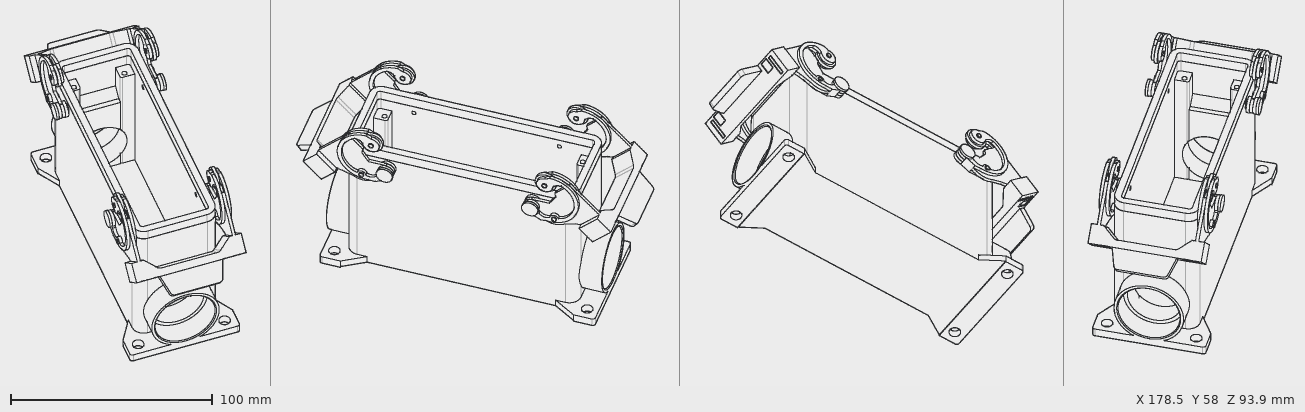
import cadquery as cq
import math

length = 178.5
width = 58.0

body_length = 121.0
body_width = 43.7
body_bottom = 0.5
body_top = 80.1
body_corner_radius = 6.0
cavity_length = 113.5
cavity_width = 36.0
cavity_corner_radius = 1.6
cavity_floor = 4.5
rim_bottom = 74.8
rim_inset = 0.09

wall_middle_x = (cavity_length + body_length) / 4
wall_middle_y = (cavity_width + body_width) / 4

post_inner_x = 49.5
post_inner_y = 10.5
post_top = 68.4
post_corner_radius = 1.0
screw_x = 51.8
screw_y = 13.4
screw_hole_diameter = 2.5
screw_hole_depth = 17.8
ledge_slope_x = 52.1
ledge_top = 50.2

foot_end_x = 72.0
foot_side_x = 60.9
foot_root_x = 49.3
foot_top = 4.5
foot_corner_radius = 1.5
foot_hole_x = 66.0
foot_hole_y = 22.8
foot_hole_diameter = 5.7

entry_z = 20.5
entry_outer_radius = 17.8
entry_counterbore_radius = 15.9
entry_counterbore_depth = 11.6
entry_bore_radius = 14.0
entry_chamfer = 0.5

layer_thickness = 1.7
layer_middle_y = 25.2
ring_x = 48.0
ring_z = 78.9
ring_radius = 15.0
ring_inner_radius = 12.9
arm_angle = math.radians(45)
head_x = 45.3
head_z = 88.2
roller_radius = 5.5
head_cheek_radius = 4.3
ring_outer_end_angle = -95
ring_inner_end_angle = -58
throat_start_angle = 62
throat_bulge = 1.2
hook_cut_along = -1.0
hook_cut_across = 4.1
hook_jaw_x = 47.3
hook_jaw_z = 74.8
hook_heel_x = 43.2
hook_heel_z = 63.7
hook_mouth_point = (50.7, 80.0)
scoop_start = (42.5, 68.0)
scoop_bottom = (45.3, 66.2)
scoop_end = (48.0, 66.8)
belly_outer_point = (60.9, 64.6)
belly_start = (55.0, 62.6)
belly_bottom = (49.6, 61.2)
belly_end = (45.3, 62.5)
pivot_x = 38.0
pivot_z = 70.5
pivot_radius = 4.1
pivot_eye_radius = 4.0
pivot_head_radius = 4.3
pivot_pin_radius = 2.5
pivot_hole_diameter = 2.1
rivet_x = 50.3
rivet_z = 66.5
rivet_radius = 1.2
rivet_length = 6.2
rivet_boss_radius = 2.3

bar_start = 20.9
bar_end = 30.9
bar_depth = 13.5
bar_web = 4.0
bar_recess_mouth_width = 45.3
bar_recess_floor_width = 31.8
bar_recess_corner_radius = 2.7
bar_slot_start = 1.6
bar_slot_end = 12.1
bar_pocket_start = 0.9
bar_pocket_end = 6.8
bar_pocket_inner_y = 18.5
bar_pocket_outer_y = 22.8
bar_outer_recess_depth = 0.5
tab_tip_z = 60.0
tab_angle = 35.0
tab_thickness = 3.5
tab_length = 14.3
tab_taper_length = 10.7
tab_root_width = 33.2
tab_tip_width = 26.8
tab_corner_radius = 2.1


def mirrored_pair(shape, plane):
    """The shape together with its mirror image."""
    return shape.union(shape.mirror(plane))


def y_cylinder(x, z, radius, y_start, y_length):
    """A cylinder along +Y that starts at y_start."""
    return (
        cq.Workplane("XZ", origin=(x, y_start, z))
        .circle(radius)
        .extrude(-y_length)
    )


def y_prism(outline, y_middle, thickness):
    """Extrude a closed XZ outline equally to both sides of y_middle."""
    return outline.extrude(thickness / 2, both=True).translate((0, y_middle, 0))


def arm_point(along, across):
    """XZ point measured from the ring centre, down along the arm and square to it."""
    x = ring_x + along * math.cos(arm_angle) + across * math.sin(arm_angle)
    z = ring_z - along * math.sin(arm_angle) + across * math.cos(arm_angle)
    return (x, z)


def ring_point(radius, degrees):
    """XZ point on a circle about the ring centre."""
    angle = math.radians(degrees)
    return (ring_x + radius * math.cos(angle), ring_z + radius * math.sin(angle))


def rounded_block(block_length, block_width, corner_radius, bottom, top):
    """A block centred on the Z axis with rounded upright edges."""
    return (
        cq.Workplane("XY", origin=(0, 0, bottom))
        .rect(block_length, block_width)
        .extrude(top - bottom)
        .edges("|Z")
        .fillet(corner_radius)
    )


def make_body():
    """Body block with a rim set slightly in from the side walls."""
    rim_length = body_length - 2 * rim_inset
    rim_width = body_width - 2 * rim_inset
    body = rounded_block(body_length, body_width, body_corner_radius, body_bottom, rim_bottom)
    rim = rounded_block(rim_length, rim_width, body_corner_radius, rim_bottom, body_top)
    return body.union(rim)


def make_cavity():
    """Cavity that opens slightly wider inside the rim."""
    mouth_length = cavity_length + 2 * rim_inset
    mouth_width = cavity_width + 2 * rim_inset
    cavity = rounded_block(cavity_length, cavity_width, cavity_corner_radius, cavity_floor, rim_bottom)
    mouth = rounded_block(mouth_length, mouth_width, cavity_corner_radius, rim_bottom, body_top)
    return cavity.union(mouth)


def make_post():
    """Post in the +X +Y corner of the cavity with a screw hole from the top."""
    post_length = wall_middle_x - post_inner_x
    post_width = wall_middle_y - post_inner_y
    post = (
        cq.Workplane("XY", origin=(post_inner_x, post_inner_y, cavity_floor))
        .rect(post_length, post_width, centered=False)
        .extrude(post_top - cavity_floor)
        .edges("|Z and <X and <Y")
        .fillet(post_corner_radius)
    )
    hole = (
        cq.Workplane("XY", origin=(screw_x, screw_y, post_top - screw_hole_depth))
        .circle(screw_hole_diameter / 2)
        .extrude(screw_hole_depth)
    )
    return post.cut(hole)


def make_ledge():
    """Ledge along the end wall whose outer part rises at 45 degrees."""
    profile = (
        cq.Workplane("XZ")
        .moveTo(post_inner_x, cavity_floor)
        .lineTo(post_inner_x, ledge_top)
        .lineTo(ledge_slope_x, ledge_top)
        .lineTo(wall_middle_x, ledge_top + wall_middle_x - ledge_slope_x)
        .lineTo(wall_middle_x, cavity_floor)
        .close()
    )
    return y_prism(profile, 0, 2 * post_inner_y)


def make_foot():
    """Mounting foot at the +X end, tapered toward the side walls."""
    plate = (
        cq.Workplane("XY")
        .moveTo(foot_root_x, -body_width / 2)
        .lineTo(foot_side_x, -width / 2)
        .lineTo(foot_end_x, -width / 2)
        .lineTo(foot_end_x, width / 2)
        .lineTo(foot_side_x, width / 2)
        .lineTo(foot_root_x, body_width / 2)
        .close()
        .extrude(foot_top)
        .edges("|Z and >X")
        .fillet(foot_corner_radius)
    )
    relief = cq.Workplane("XY").rect(2 * foot_side_x, width).extrude(body_bottom)
    holes = (
        cq.Workplane("XY")
        .pushPoints([(foot_hole_x, -foot_hole_y), (foot_hole_x, foot_hole_y)])
        .circle(foot_hole_diameter / 2)
        .extrude(foot_top)
    )
    return plate.cut(relief).cut(holes)


def make_entry():
    """Round collar on the +X end wall."""
    start_x = body_length / 2 - body_corner_radius
    return (
        cq.Workplane("YZ", origin=(start_x, 0, entry_z))
        .circle(entry_outer_radius)
        .extrude(foot_end_x - start_x)
    )


def make_entry_bore():
    """Counterbored hole through the collar and the end wall, chamfered at the mouth."""
    bore = (
        cq.Workplane("YZ", origin=(0, 0, entry_z))
        .circle(entry_bore_radius)
        .extrude(foot_end_x)
    )
    counterbore = (
        cq.Workplane("YZ", origin=(foot_end_x - entry_counterbore_depth, 0, entry_z))
        .circle(entry_counterbore_radius)
        .extrude(entry_counterbore_depth)
    )
    mouth = (
        cq.Workplane("YZ", origin=(foot_end_x, 0, entry_z))
        .circle(entry_counterbore_radius + entry_chamfer)
        .workplane(offset=-entry_chamfer)
        .circle(entry_counterbore_radius)
        .loft()
    )
    return bore.union(counterbore).union(mouth)


def make_hook_band():
    """C-shaped outline from the head, round the ring, to the pivot."""
    throat_start = ring_point(ring_inner_radius, throat_start_angle)
    throat_middle = (throat_start[0] - throat_bulge, throat_start[1])
    return (
        cq.Workplane("XZ")
        .moveTo(*ring_point(ring_radius, 90))
        .threePointArc(ring_point(ring_radius, 0), ring_point(ring_radius, ring_outer_end_angle))
        .lineTo(hook_heel_x, hook_heel_z)
        .lineTo(pivot_x, pivot_z - pivot_radius)
        .lineTo(pivot_x, pivot_z)
        .lineTo(*scoop_start)
        .threePointArc(scoop_bottom, scoop_end)
        .lineTo(rivet_x, rivet_z)
        .lineTo(*ring_point(ring_inner_radius, ring_inner_end_angle))
        .threePointArc(ring_point(ring_inner_radius, 0), throat_start)
        .threePointArc(throat_middle, (head_x + head_cheek_radius, head_z))
        .lineTo(head_x, head_z)
        .lineTo(head_x, head_z + head_cheek_radius)
        .close()
    )


def make_cheek(y_middle):
    """One of the two outer layers of a lever arm."""
    cheek = y_prism(make_hook_band(), y_middle, layer_thickness)
    y_start = y_middle - layer_thickness / 2
    discs = [
        (head_x, head_z, head_cheek_radius),
        (pivot_x, pivot_z, pivot_radius),
        (rivet_x, rivet_z, rivet_boss_radius),
    ]
    for x, z, radius in discs:
        cheek = cheek.union(y_cylinder(x, z, radius, y_start, layer_thickness))
    return cheek


def make_core():
    """The middle layer of a lever arm, which fills the ring and carries the crossbar."""
    plate = (
        cq.Workplane("XZ")
        .moveTo(*arm_point(hook_cut_along, ring_radius))
        .lineTo(*arm_point(bar_start, ring_radius))
        .lineTo(*arm_point(bar_start, ring_radius - bar_depth))
        .lineTo(*belly_outer_point)
        .lineTo(*belly_start)
        .threePointArc(belly_bottom, belly_end)
        .lineTo(hook_heel_x, hook_heel_z)
        .lineTo(pivot_x, pivot_z - pivot_radius)
        .lineTo(pivot_x, hook_jaw_z)
        .lineTo(hook_jaw_x, hook_jaw_z)
        .lineTo(*hook_mouth_point)
        .lineTo(*arm_point(hook_cut_along, hook_cut_across))
        .close()
    )
    core = y_prism(plate, layer_middle_y, layer_thickness)
    y_start = layer_middle_y - layer_thickness / 2
    pivot_eye = y_cylinder(pivot_x, pivot_z, pivot_eye_radius, y_start, layer_thickness)
    roller = y_cylinder(head_x, head_z, roller_radius, y_start, layer_thickness)
    return core.union(pivot_eye).union(roller)


def make_rivet(x, z):
    """Rivet through all three layers of an arm."""
    y_start = layer_middle_y - rivet_length / 2
    return y_cylinder(x, z, rivet_radius, y_start, rivet_length)


def make_pivot():
    """Pivot pin from the side wall, with a flat head on the outer face of the lever."""
    head_start = layer_middle_y + 1.5 * layer_thickness
    pin = y_cylinder(pivot_x, pivot_z, pivot_pin_radius, wall_middle_y, head_start - wall_middle_y)
    head = y_cylinder(pivot_x, pivot_z, pivot_head_radius, head_start, width / 2 - head_start)
    return pin.union(head)


def make_pivot_hole():
    """Hole through both side walls and into the pivot pins."""
    return y_cylinder(pivot_x, pivot_z, pivot_hole_diameter / 2, -body_width / 2, body_width)


def make_arm():
    """The +Y arm: core, two cheeks, rivets and pivot."""
    arm = make_core()
    for side in (-1, 1):
        arm = arm.union(make_cheek(layer_middle_y + side * layer_thickness))
    arm = arm.union(make_rivet(head_x, head_z))
    arm = arm.union(make_rivet(rivet_x, rivet_z))
    return arm.union(make_pivot())


def make_crossbar():
    """Bar across both arms, with a tapered recess facing the body."""
    base_x, base_z = arm_point(0, ring_radius - bar_depth)
    plan = cq.Plane(
        origin=(base_x, 0, base_z),
        xDir=(math.cos(arm_angle), 0, -math.sin(arm_angle)),
        normal=(math.sin(arm_angle), 0, math.cos(arm_angle)),
    )
    recess_end = bar_end - bar_web
    bar = (
        cq.Workplane(plan)
        .moveTo(bar_start, bar_recess_mouth_width / 2)
        .lineTo(bar_start, width / 2)
        .lineTo(bar_end, width / 2)
        .lineTo(bar_end, -width / 2)
        .lineTo(bar_start, -width / 2)
        .lineTo(bar_start, -bar_recess_mouth_width / 2)
        .lineTo(recess_end, -bar_recess_floor_width / 2)
        .lineTo(recess_end, bar_recess_floor_width / 2)
        .close()
        .extrude(bar_depth)
    )
    corner_x, corner_z = arm_point(recess_end, ring_radius - bar_depth / 2)
    for side in (-1, 1):
        corner = cq.selectors.NearestToPointSelector(
            (corner_x, side * bar_recess_floor_width / 2, corner_z)
        )
        bar = bar.edges(corner).fillet(bar_recess_corner_radius)
    return bar.cut(mirrored_pair(make_outer_recesses(plan), "XZ"))


def make_outer_recesses(plan):
    """Shallow slot and pocket in the outer face of the crossbar, on the +Y side."""
    slot_inner_y = layer_middle_y - layer_thickness / 2
    slot_outer_y = layer_middle_y + layer_thickness / 2
    recesses = cq.Workplane(plan)
    for inner_y, outer_y, start, end in [
        (slot_inner_y, slot_outer_y, bar_slot_start, bar_slot_end),
        (bar_pocket_inner_y, bar_pocket_outer_y, bar_pocket_start, bar_pocket_end),
    ]:
        recess = (
            cq.Workplane(plan)
            .workplane(offset=bar_depth - end)
            .moveTo(bar_end - bar_outer_recess_depth, inner_y)
            .rect(bar_outer_recess_depth, outer_y - inner_y, centered=False)
            .extrude(end - start)
        )
        recesses = recesses.add(recess)
    return recesses.combine()


def make_tab():
    """Pull tab that slopes down and outward from the crossbar to the end of the part."""
    slope = math.radians(tab_angle)
    tip_x = length / 2 - tab_thickness / 2 * math.sin(slope)
    plan = cq.Plane(
        origin=(tip_x, 0, tab_tip_z),
        xDir=(math.cos(slope), 0, -math.sin(slope)),
        normal=(math.sin(slope), 0, math.cos(slope)),
    )
    tab = (
        cq.Workplane(plan)
        .moveTo(0, -tab_tip_width / 2)
        .lineTo(0, tab_tip_width / 2)
        .lineTo(-tab_taper_length, tab_root_width / 2)
        .lineTo(-tab_length, tab_root_width / 2)
        .lineTo(-tab_length, -tab_root_width / 2)
        .lineTo(-tab_taper_length, -tab_root_width / 2)
        .close()
        .extrude(tab_thickness / 2, both=True)
    )
    for side in (-1, 1):
        corner = cq.selectors.NearestToPointSelector((tip_x, side * tab_tip_width / 2, tab_tip_z))
        tab = tab.edges(corner).fillet(tab_corner_radius)
    return tab


def make_lever():
    """The lever at the +X end."""
    return mirrored_pair(make_arm(), "XZ").union(make_crossbar()).union(make_tab())


shell = make_body()
for outside in (make_entry(), make_foot()):
    shell = shell.union(mirrored_pair(outside, "YZ"))
shell = shell.cut(make_cavity())

posts = mirrored_pair(mirrored_pair(make_post(), "XZ"), "YZ")
ledges = mirrored_pair(make_ledge(), "YZ")
housing = shell.union(posts).union(ledges)
housing = housing.cut(mirrored_pair(make_entry_bore(), "YZ"))

levers = mirrored_pair(make_lever(), "YZ")
pivot_holes = mirrored_pair(make_pivot_hole(), "YZ")
result = housing.union(levers).cut(pivot_holes)